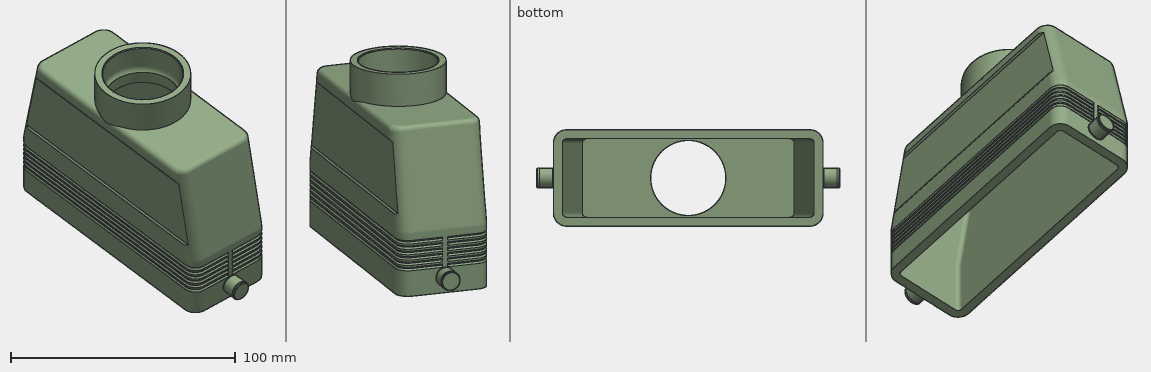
import cadquery as cq
import math

total_length = 135.0
total_height = 91.0

hood_length = 120.2
hood_width = 43.0
hood_height = 76.0
bend_height = 29.5
taper_angle = 11.8
bend_radius = 5.0
corner_radius = 6.1
top_radius = 2.4
wall = 4.0

recess_bottom = 37.0
recess_top = 69.8
recess_depth = 0.8

groove_count = 6
groove_pitch = 2.5
top_groove_height = 25.2
groove_half_width = 0.8
groove_depth = 0.7
groove_gap = 2.4

collar_diameter = 42.8
bore_diameter = 35.6
passage_diameter = 33.3
bore_depth = 10.5
seat_height = 2.7
rim_chamfer = 0.4

pin_diameter = 8.9
pin_height = 7.4
pin_cap_length = 1.2
pin_root_length = 0.4
pin_shaft_inset = 0.03
pin_chamfer = 0.4


def tapered_block(inset, corner):
    """Upright block with leaning upper ends and rounded corners, inset from the hood's outside."""
    lean = math.tan(math.radians(taper_angle))
    half_length = hood_length / 2 - inset
    top = hood_height - inset
    top_half_length = half_length - (top - bend_height) * lean
    depth = hood_width - 2 * inset
    block = (
        cq.Workplane("XZ")
        .polyline([
            (-half_length, 0),
            (half_length, 0),
            (half_length, bend_height),
            (top_half_length, top),
            (-top_half_length, top),
            (-half_length, bend_height),
        ])
        .close()
        .extrude(depth / 2, both=True)
    )
    bend_edges = cq.selectors.BoxSelector(
        (-hood_length, -hood_width, bend_height - 1.4), (hood_length, hood_width, bend_height + 1.4)
    )
    block = block.edges("|Y").edges(bend_edges).fillet(bend_radius)
    return block.edges("#Y").edges("not(<Z or >Z)").edges("not |X").fillet(corner)


def side_recess(side):
    """Full-length cutter with 45 degree ends; side is -1 for -Y and +1 for +Y."""
    face = side * hood_width / 2
    floor = face - side * recess_depth
    return (
        cq.Workplane("YZ")
        .polyline([
            (face, recess_bottom),
            (floor, recess_bottom + recess_depth),
            (floor, recess_top - recess_depth),
            (face, recess_top),
        ])
        .close()
        .extrude(hood_length / 2, both=True)
    )


def rounded_plate(inset, base, height, taper=0):
    """Rounded rectangle parallel to the hood's lower outline, extruded along Z."""
    outline = cq.Sketch().rect(hood_length - 2 * inset, hood_width - 2 * inset)
    outline = outline.vertices().fillet(corner_radius - inset)
    return cq.Workplane("XY", origin=(0, 0, base)).placeSketch(outline).extrude(height, taper=taper)


def grip_groove(height):
    """V-groove running around the hood, interrupted at the middle of each end."""
    flare = math.degrees(math.atan(groove_depth / groove_half_width))
    ring = rounded_plate(-groove_depth, height - groove_half_width, 2 * groove_half_width)
    for direction in (-1, 1):
        ring = ring.cut(rounded_plate(groove_depth, height, direction * groove_half_width, -flare))
    gap = cq.Workplane("XY").box(total_length, groove_gap, 4 * groove_half_width)
    return ring.cut(gap.translate((0, 0, height)))


def collar_bore():
    """Stepped cable passage from the collar rim down into the hood."""
    bore_radius = bore_diameter / 2
    passage_radius = passage_diameter / 2
    seat_top = total_height - bore_depth
    seat_bottom = seat_top - seat_height
    seat_step = bore_radius - passage_radius
    seat_radius = (seat_step**2 + seat_height**2) / (2 * seat_step)
    half_sweep = math.asin(seat_height / seat_radius) / 2
    seat_middle = (
        bore_radius - seat_radius * (1 - math.cos(half_sweep)),
        seat_top - seat_radius * math.sin(half_sweep),
    )
    return (
        cq.Workplane("XZ")
        .moveTo(0, hood_height - 2 * wall)
        .lineTo(passage_radius, hood_height - 2 * wall)
        .lineTo(passage_radius, seat_bottom)
        .threePointArc(seat_middle, (bore_radius, seat_top))
        .lineTo(bore_radius, total_height - rim_chamfer)
        .lineTo(bore_radius + rim_chamfer, total_height)
        .lineTo(0, total_height)
        .close()
        .revolve(360, (0, 0, 0), (0, 1, 0))
    )


def locking_pin(side):
    """Pin on one end, with a slightly slimmer shaft between its root and its cap."""
    root = hood_length / 2 - wall / 2
    shaft_start = hood_length / 2 + pin_root_length
    tip = total_length / 2
    radius = pin_diameter / 2
    shaft_radius = radius - pin_shaft_inset
    pin = (
        cq.Workplane("XY")
        .polyline([
            (root, 0),
            (root, radius),
            (shaft_start, radius),
            (shaft_start, shaft_radius),
            (tip - pin_cap_length, shaft_radius),
            (tip - pin_cap_length, radius),
            (tip - pin_chamfer, radius),
            (tip, radius - pin_chamfer),
            (tip, 0),
        ])
        .close()
        .revolve(360, (0, 0, 0), (1, 0, 0))
    )
    if side < 0:
        pin = pin.mirror("YZ")
    return pin.translate((0, 0, pin_height))


hood = tapered_block(0, corner_radius).faces(">Z").edges().fillet(top_radius)

for side in (-1, 1):
    hood = hood.cut(side_recess(side))

for index in range(groove_count):
    hood = hood.cut(grip_groove(top_groove_height - index * groove_pitch))

collar_base = hood_height - wall
collar = (
    cq.Workplane("XY", origin=(0, 0, collar_base))
    .circle(collar_diameter / 2)
    .extrude(total_height - collar_base)
)
hood = hood.union(collar)

hood = hood.cut(tapered_block(wall, corner_radius - wall))
hood = hood.cut(collar_bore())

for side in (-1, 1):
    hood = hood.union(locking_pin(side))

result = hood